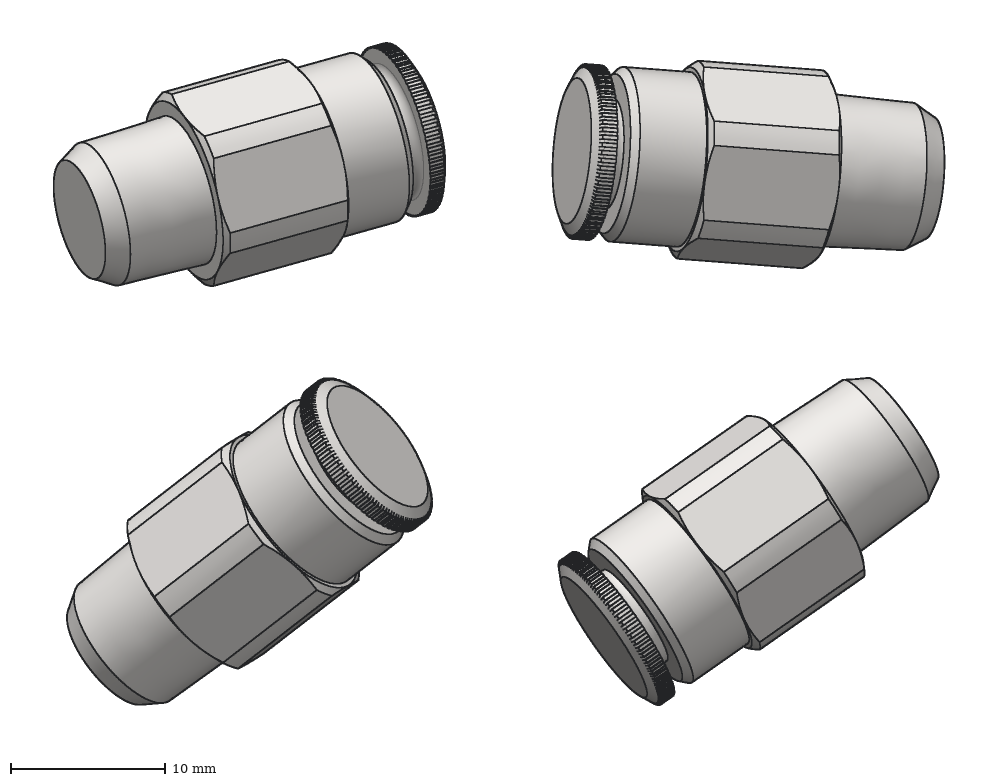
import cadquery as cq
import math


overall_length = 24
thread_length = 7.5
hex_length = 9.0
body_length = 5.0
neck_length = 1.0

tip_diameter = 8.0
lead_diameter = 9.62
lead_angle = math.radians(30)
thread_taper = 1 / 16

hex_sides = 6
across_flats = 12
across_rounded_corners = 13.0
hex_chamfer_angle = math.radians(30)

body_diameter = 11.4
body_chamfer = 0.5
neck_diameter = 7.2
collar_diameter = body_diameter
collar_end_diameter = 9.5
collar_cone_length = 0.5

groove_count = 70
groove_angle = 2.4
first_groove_angle = 0.7
groove_depth = 0.07
groove_end_radius = 0.3

hex_start = thread_length
hex_end = hex_start + hex_length
body_end = hex_end + body_length
collar_start = body_end + neck_length
cone_start = overall_length - collar_cone_length


def revolve_about_y(profile):
    return profile.close().revolve(360, (0, 0, 0), (0, 1, 0))


def make_thread():
    lead_length = (lead_diameter - tip_diameter) / 2 / math.tan(lead_angle)
    root_diameter = lead_diameter + (thread_length - lead_length) * thread_taper
    profile = (
        cq.Workplane("XY")
        .lineTo(tip_diameter / 2, 0)
        .lineTo(lead_diameter / 2, lead_length)
        .lineTo(root_diameter / 2, hex_start)
        .lineTo(0, hex_start)
    )
    return revolve_about_y(profile)


def make_hexagon():
    """Hexagonal prism with rounded corners and conical chamfers that touch the flats."""
    prism = (
        cq.Workplane("XZ", origin=(0, hex_end, 0))
        .polygon(hex_sides, across_flats / math.cos(math.pi / hex_sides))
        .extrude(hex_length)
    )
    face_radius = across_flats / 2
    corner_radius = across_rounded_corners / 2
    chamfer_length = (corner_radius - face_radius) * math.tan(hex_chamfer_angle)
    envelope = (
        cq.Workplane("XY")
        .moveTo(0, hex_start)
        .lineTo(face_radius, hex_start)
        .lineTo(corner_radius, hex_start + chamfer_length)
        .lineTo(corner_radius, hex_end - chamfer_length)
        .lineTo(face_radius, hex_end)
        .lineTo(0, hex_end)
    )
    return prism.intersect(revolve_about_y(envelope))


def make_body_and_collar():
    body_radius = body_diameter / 2
    neck_radius = neck_diameter / 2
    arc_inset = neck_length * (1 - math.sqrt(0.5))
    profile = (
        cq.Workplane("XY")
        .moveTo(0, hex_end)
        .lineTo(body_radius, hex_end)
        .lineTo(body_radius, body_end - body_chamfer)
        .lineTo(body_radius - body_chamfer, body_end)
        .lineTo(neck_radius, body_end)
        .threePointArc(
            (neck_radius + arc_inset, collar_start - arc_inset),
            (neck_radius + neck_length, collar_start),
        )
        .lineTo(collar_diameter / 2, collar_start)
        .lineTo(collar_diameter / 2, cone_start)
        .lineTo(collar_end_diameter / 2, overall_length)
        .lineTo(0, overall_length)
    )
    return revolve_about_y(profile)


def make_knurl_cutter():
    """Axial grooves whose floors curve smoothly into the end cone of the collar."""
    collar_radius = collar_diameter / 2
    floor_radius = collar_radius - groove_depth
    cone_run = collar_radius - collar_end_diameter / 2
    cone_angle = math.atan2(collar_cone_length, cone_run)

    corner_y = cone_start + groove_depth * math.tan(cone_angle)
    turn_angle = math.pi / 2 - cone_angle
    tangent_length = groove_end_radius * math.tan(turn_angle / 2)
    arc_center_r = floor_radius - groove_end_radius
    arc_center_y = corner_y - tangent_length

    def arc_point(angle):
        return (
            arc_center_r + groove_end_radius * math.cos(angle),
            arc_center_y + groove_end_radius * math.sin(angle),
        )

    groove = (
        cq.Workplane("XY")
        .moveTo(floor_radius, collar_start)
        .lineTo(*arc_point(0))
        .threePointArc(arc_point(turn_angle / 2), arc_point(turn_angle))
        .lineTo(collar_radius, overall_length)
        .lineTo(collar_radius + groove_depth, overall_length)
        .lineTo(collar_radius + groove_depth, collar_start)
        .close()
        .revolve(groove_angle, (0, 0, 0), (0, 1, 0))
    )
    pitch_angle = 360 / groove_count
    first_turn = -90 - first_groove_angle - groove_angle / 2
    grooves = cq.Workplane("XY")
    for index in range(groove_count):
        grooves.add(groove.rotate((0, 0, 0), (0, 1, 0), first_turn + index * pitch_angle))
    return grooves.combine(glue=True)


result = make_thread().union(make_hexagon()).union(make_body_and_collar())
result = result.cut(make_knurl_cutter())